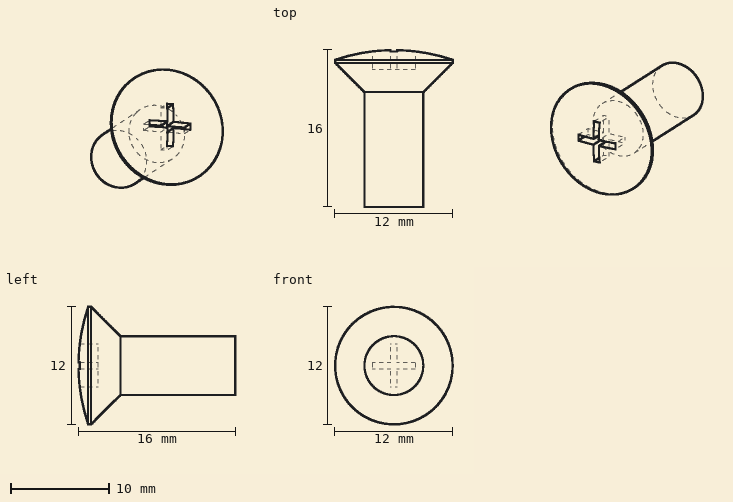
import cadquery as cq
import math

shank_diameter = 6.0
head_diameter = 2 * shank_diameter
countersink_angle = 90.0
rim_height = 0.3
dome_height = 1.0
nominal_length = 15.0

recess_span = 4.4
recess_width = 0.65
recess_depth = 2.0

shank_radius = shank_diameter / 2
head_radius = head_diameter / 2
cone_height = (head_radius - shank_radius) / math.tan(math.radians(countersink_angle / 2))
dome_radius = (head_radius**2 + dome_height**2) / (2 * dome_height)


def dome_level(radius):
    """Y position of the dome surface at a distance from the axis."""
    return dome_height - dome_radius + math.sqrt(dome_radius**2 - radius**2)


def screw_blank():
    """Shank, conical head, rim and dome, revolved about the Y axis."""
    cone_top = -rim_height
    cone_bottom = cone_top - cone_height
    arc_middle_radius = head_radius / 2
    half_profile = (
        cq.Workplane("XY")
        .moveTo(0, -nominal_length)
        .lineTo(shank_radius, -nominal_length)
        .lineTo(shank_radius, cone_bottom)
        .lineTo(head_radius, cone_top)
        .lineTo(head_radius, 0)
        .threePointArc((arc_middle_radius, dome_level(arc_middle_radius)), (0, dome_height))
        .close()
    )
    return half_profile.revolve(360, (0, 0, 0), (0, 1, 0))


def cross_recess():
    """Two crossed slots, sunk from the crown of the dome to a flat floor."""
    floor_level = dome_height - recess_depth
    slot_center = (0, floor_level + recess_depth / 2, 0)
    slot_along_x = cq.Workplane("XY").box(recess_span, recess_depth, recess_width)
    slot_along_z = cq.Workplane("XY").box(recess_width, recess_depth, recess_span)
    return slot_along_x.union(slot_along_z).translate(slot_center)


result = screw_blank().cut(cross_recess())